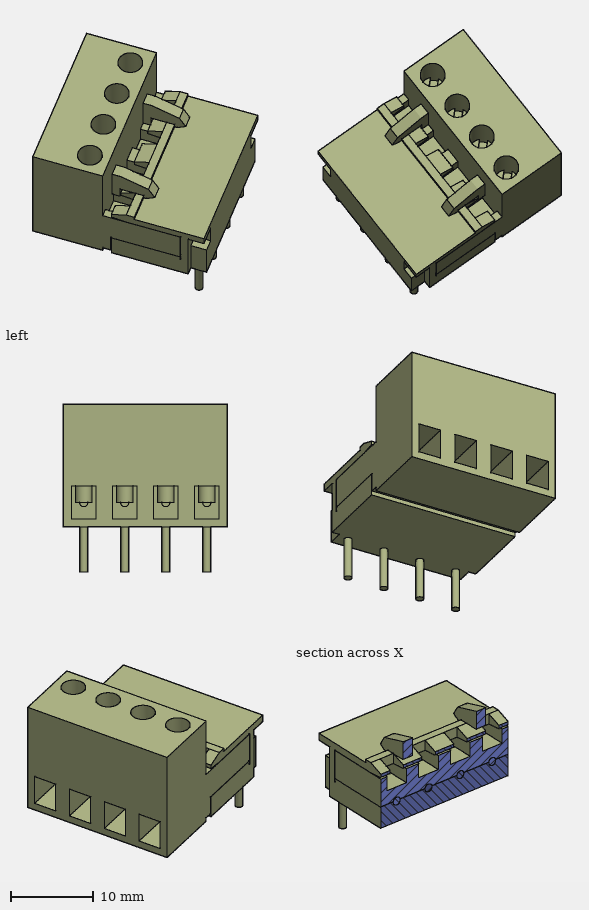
import cadquery as cq


pole_count = 4
width = 20.0
pole_pitch = width / pole_count
poles = [(i - (pole_count - 1) / 2) * pole_pitch for i in range(pole_count)]
pole_opening = 3.0
fit_gap = 0.1

plug_depth = 9.05
plug_height = 15.0
shoulder_x = 10.04
shoulder_z = 0.5
tongue_end_x = 19.0
tongue_bottom_z = 3.0
tongue_top_z = 7.0
key_slot_depth = 2.0

entry_bottom_z = 1.0
entry_height = 4.0
entry_top_z = entry_bottom_z + entry_height

screw_x = 6.52
screw_head_diameter = pole_opening
screw_shank_diameter = 2.0
screw_head_top_z = 10.0
screw_head_bottom_z = 8.0
screw_tip_z = tongue_bottom_z
screw_slot_width = 1.0
screw_slot_depth = 1.0
screw_slot_angle = 45
entry_depth = screw_x + pole_opening / 2

latch_width = 1.5
latch_top_z = 11.0
latch_bend_x = 10.13
latch_nose_x = 13.73
latch_nose_z = 9.97
latch_tip_x = 14.55
latch_tip_z = 8.7
latch_hook_end_x = 13.46

header_length = 22.1
header_front_x = shoulder_x + fit_gap
header_wall_x = tongue_end_x + fit_gap
header_back_x = 20.08
header_top_z = 8.0
relief_bottom_z = 2.5
lip_top_z = 8.45
lip_back_x = 13.11
lip_edge_x = 12.07
lip_nose_top_z = 7.72
lip_nose_bottom_z = 7.2
lip_gap_width = 2.05

back_block_height = 4.49
back_block_inset = 1.0
upper_block_inset = pole_pitch / 2

pin_diameter = 1.0
pin_tail_length = 5.5
pin_x = 20.6
pin_axis_z = 2.96


def box(x_range, y_range, z_range):
    """Solid block between the given limits."""
    (x0, x1), (y0, y1), (z0, z1) = x_range, y_range, z_range
    return cq.Workplane("XY").box(x1 - x0, y1 - y0, z1 - z0, centered=False).translate((x0, y0, z0))


def profile(points, y_start, length):
    """Closed XZ outline extruded along +Y from y_start."""
    return cq.Workplane("XZ", origin=(0, y_start, 0)).polyline(points).close().extrude(-length)


def upright_cylinder(x, y, diameter, z_bottom, z_top):
    """Cylinder with a vertical axis."""
    return cq.Workplane("XY", origin=(x, y, z_bottom)).circle(diameter / 2).extrude(z_top - z_bottom)


def across(center, size):
    """Limits of a span of the given size about its centre."""
    return (center - size / 2, center + size / 2)


def make_pin(y):
    """Right-angled round pin: a level contact into the plug and a tail through the board."""
    contact = (
        cq.Workplane("YZ", origin=(entry_depth, y, pin_axis_z))
        .circle(pin_diameter / 2)
        .extrude(pin_x - entry_depth)
    )
    tail = upright_cylinder(pin_x, y, pin_diameter, -pin_tail_length, pin_axis_z)
    elbow = cq.Workplane("XY").sphere(pin_diameter / 2).translate((pin_x, y, pin_axis_z))
    return contact.union(tail).union(elbow)


def make_screw(y):
    """Slotted clamp screw, its shank reaching down into the wire entry."""
    shank = upright_cylinder(screw_x, y, screw_shank_diameter, screw_tip_z, screw_head_bottom_z)
    head = upright_cylinder(screw_x, y, screw_head_diameter, screw_head_bottom_z, screw_head_top_z)
    slot = (
        cq.Workplane("XY", origin=(screw_x, y, screw_head_top_z))
        .transformed(rotate=(0, 0, screw_slot_angle))
        .rect(2 * screw_head_diameter, screw_slot_width)
        .extrude(-screw_slot_depth)
    )
    return shank.union(head).cut(slot)


def make_latch(y_start):
    """Hooked arm that snaps behind the lip of the header."""
    outline = [
        (plug_depth, tongue_top_z),
        (plug_depth, latch_top_z),
        (latch_bend_x, latch_top_z),
        (latch_nose_x, latch_nose_z),
        (latch_tip_x, latch_tip_z),
        (latch_hook_end_x, header_top_z),
        (lip_back_x, header_top_z),
        (lip_back_x, lip_top_z),
        (shoulder_x, lip_top_z),
        (shoulder_x, tongue_top_z),
    ]
    return profile(outline, y_start, latch_width)


def make_plug():
    """Plug housing with wire entries, screw wells, key slots and two latches."""
    outline = [
        (0, 0),
        (plug_depth, 0),
        (plug_depth, shoulder_z),
        (shoulder_x, shoulder_z),
        (shoulder_x, tongue_bottom_z),
        (tongue_end_x, tongue_bottom_z),
        (tongue_end_x, tongue_top_z),
        (plug_depth, tongue_top_z),
        (plug_depth, plug_height),
        (0, plug_height),
    ]
    plug = profile(outline, -width / 2, width)
    for y in poles:
        entry = box((0, entry_depth), across(y, pole_opening), (entry_bottom_z, entry_top_z))
        well = upright_cylinder(screw_x, y, screw_head_diameter, screw_head_bottom_z, plug_height)
        shank_hole = upright_cylinder(screw_x, y, screw_shank_diameter, entry_top_z, screw_head_bottom_z)
        key_slot = box(
            (plug_depth, tongue_end_x),
            across(y, pole_opening),
            (tongue_top_z - key_slot_depth, tongue_top_z),
        )
        plug = plug.cut(entry).cut(well).cut(shank_hole).cut(key_slot).cut(make_pin(y))
    for y_start in (pole_pitch, -pole_pitch - latch_width):
        plug = plug.union(make_latch(y_start))
    return plug


def make_header():
    """Header that grips the plug tongue from below, behind and above."""
    outline = [
        (header_front_x, 0),
        (header_back_x, 0),
        (header_back_x, tongue_top_z),
        (header_length, tongue_top_z),
        (header_length, header_top_z),
        (lip_back_x, header_top_z),
        (lip_back_x, lip_top_z),
        (lip_edge_x, lip_top_z),
        (header_front_x, lip_nose_top_z),
        (header_front_x, lip_nose_bottom_z),
        (lip_edge_x, tongue_top_z),
        (header_wall_x, tongue_top_z),
        (header_wall_x, relief_bottom_z),
        (tongue_end_x, relief_bottom_z),
        (tongue_end_x, tongue_bottom_z),
        (header_front_x, tongue_bottom_z),
    ]
    header = profile(outline, -width / 2, width)

    back = (header_back_x, header_length)
    lower_block = box(back, across(0, width - 2 * back_block_inset), (0, back_block_height))
    upper_block = box(back, across(0, width - 2 * upper_block_inset), (back_block_height, tongue_top_z))
    header = header.union(lower_block).union(upper_block)

    for y in poles:
        lip_gap = box((header_front_x, lip_edge_x), across(y, lip_gap_width), (tongue_top_z, lip_top_z))
        header = header.cut(lip_gap).cut(make_pin(y))
    return header


plug = make_plug()
header = make_header()
screws = [make_screw(y) for y in poles]
pins = [make_pin(y) for y in poles]

result = cq.Compound.makeCompound(
    [plug.val(), header.val(), *[screw.val() for screw in screws], *[pin.val() for pin in pins]]
)